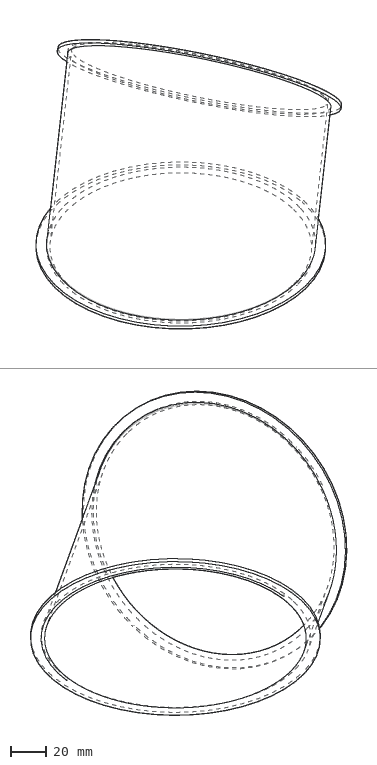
import cadquery as cq
import math

bend_angle = 45.0
bend_radius = 130.04
tube_outer_radius = 76.0
wall = 2.0
flange_width = 6.0
flange_thickness = 2.0

half_angle = math.radians(bend_angle) / 2
tube_inner_radius = tube_outer_radius - wall
flange_outer_radius = tube_outer_radius + flange_width
tube_length = 2 * bend_radius * math.sin(half_angle)
end_y = tube_length * math.sin(half_angle)
end_z = tube_length * math.cos(half_angle)

bottom_face = cq.Plane(origin=(0, 0, 0), xDir=(1, 0, 0), normal=(0, 0, -1))
top_face = cq.Plane(
    origin=(0, end_y, end_z),
    xDir=(1, 0, 0),
    normal=(0, math.sin(2 * half_angle), math.cos(2 * half_angle)),
)
end_faces = (bottom_face, top_face)


def leaning_cylinder(radius):
    """Long elliptical cylinder along the tube; both end faces cut it in circles of the given radius."""
    start = cq.Plane(
        origin=(0, -end_y, -end_z),
        xDir=(1, 0, 0),
        normal=(0, math.sin(half_angle), math.cos(half_angle)),
    )
    minor_radius = radius * math.cos(half_angle)
    return cq.Workplane(start).ellipse(radius, minor_radius).extrude(3 * tube_length)


def trim_to_end_faces(body):
    """Keep only the stretch of the body between the two end faces."""
    block_size = 4 * tube_length
    for face in end_faces:
        body = body.cut(cq.Workplane(face).rect(block_size, block_size).extrude(block_size))
    return body


def end_disc(face, radius):
    """Disc of flange thickness lying just inside an end face."""
    return cq.Workplane(face).circle(radius).extrude(-flange_thickness)


def flange_gap(face):
    """Wedge between the straight hole of a flange and the side of the tube that leans away from it."""
    return end_disc(face, tube_outer_radius).cut(leaning_cylinder(tube_outer_radius))


result = trim_to_end_faces(leaning_cylinder(tube_outer_radius))
for end_face in end_faces:
    result = result.union(end_disc(end_face, flange_outer_radius))

result = result.cut(leaning_cylinder(tube_inner_radius))

for end_face in end_faces:
    result = result.cut(flange_gap(end_face))